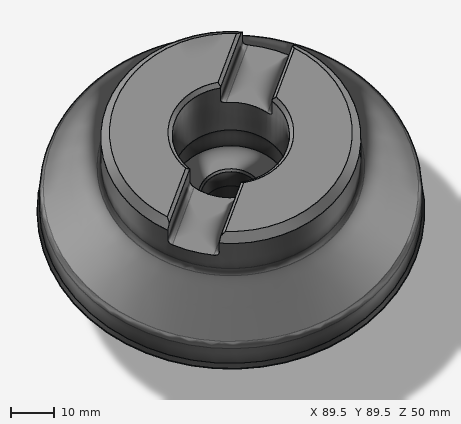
import cadquery as cq
import math

total_height = 50.0

cone_height = 18.85
cone_top_radius = 89.45 / 2
cone_bottom_radius = 22.7
cone_rim_round = 0.4
cone_bottom_round = 1.0

hub_radius = 60.0 / 2
hub_chamfer = 2.0
rim_radius = 88.28 / 2
shoulder_corner_height = 37.0
shoulder_angle = math.radians(35.0)
shoulder_fillet = 2.0
rim_corner_height = shoulder_corner_height - (rim_radius - hub_radius) * math.tan(shoulder_angle)
lip_radius = 44.65
lip_height = 1.35

bore_radius = 27.0 / 2
bore_chamfer = 1.0
bore_depth = 18.0
relief_radius = 28.0 / 2
relief_floor_height = 25.0
hole_radius = 14.0 / 2
hole_chamfer = 0.5

slot_width = 12.4
slot_depth = 7.0
slot_floor_fillet = 1.2
slot_edge_chamfer = 0.8


def revolve_profile(points):
    """Turn a closed (radius, height) outline a full turn about the Z axis."""
    return cq.Workplane("XZ").polyline(points).close().revolve(360, (0, 0, 0), (0, 1, 0))


def ring_at(radius, height):
    """Selector for the circular edge of the given radius and height."""
    reach = radius + 0.01
    slack = 0.01
    return cq.selectors.BoxSelector(
        (-reach, -reach, height - slack), (reach, reach, height + slack), boundingbox=True
    )


def make_holder_blank():
    """Outer shape: chamfered hub, shoulder with rounded corners, rim and lip."""
    blank = revolve_profile([
        (0, cone_height),
        (lip_radius, cone_height),
        (rim_radius, cone_height + lip_height),
        (rim_radius, rim_corner_height),
        (hub_radius, shoulder_corner_height),
        (hub_radius, total_height - hub_chamfer),
        (hub_radius - hub_chamfer, total_height),
        (0, total_height),
    ])
    blank = blank.edges(ring_at(rim_radius, rim_corner_height)).fillet(shoulder_fillet)
    return blank.edges(ring_at(hub_radius, shoulder_corner_height)).fillet(shoulder_fillet)


def make_bore_cutter():
    """Stepped bore: chamfered mouth, guide bore, wider relief, then the through hole."""
    relief_top_height = total_height - bore_depth
    return revolve_profile([
        (0, cone_height),
        (hole_radius, cone_height),
        (hole_radius, relief_floor_height - hole_chamfer),
        (hole_radius + hole_chamfer, relief_floor_height),
        (relief_radius, relief_floor_height),
        (relief_radius, relief_top_height),
        (bore_radius, relief_top_height),
        (bore_radius, total_height - bore_chamfer),
        (bore_radius + bore_chamfer, total_height),
        (0, total_height),
    ])


def make_slot_cutter():
    """Drive slot with rounded floor corners and chamfered top edges."""
    half_width = slot_width / 2
    slot_length = 2 * rim_radius
    floor_height = total_height - slot_depth
    slot = (
        cq.Workplane("XY", origin=(0, 0, floor_height))
        .rect(slot_width, slot_length)
        .extrude(slot_depth)
        .edges("|Y and <Z")
        .fillet(slot_floor_fillet)
    )
    edge_chamfers = (
        cq.Workplane("XZ")
        .polyline([
            (-half_width - slot_edge_chamfer, total_height),
            (-half_width, total_height - slot_edge_chamfer),
            (half_width, total_height - slot_edge_chamfer),
            (half_width + slot_edge_chamfer, total_height),
        ])
        .close()
        .extrude(slot_length / 2, both=True)
    )
    return slot.union(edge_chamfers)


def make_holder():
    """Upper body with its bore and drive slot."""
    return make_holder_blank().cut(make_bore_cutter()).cut(make_slot_cutter())


def make_cutting_cone():
    """Cone that widens upward to the holder's lip, with rounded ends and the through hole on its axis."""
    rim_center_radius = cone_top_radius - cone_rim_round
    run = rim_center_radius - cone_bottom_radius
    center_distance = math.hypot(run, cone_height)
    side_angle = math.atan2(cone_height, run) - math.asin(cone_rim_round / center_distance)
    tangent_angle = side_angle - math.pi / 2

    def rim_point(angle):
        """Point of the rim arc, with the angle measured from the outward radial direction."""
        return (
            rim_center_radius + cone_rim_round * math.cos(angle),
            cone_height + cone_rim_round * math.sin(angle),
        )

    cone = (
        cq.Workplane("XZ")
        .moveTo(hole_radius, 0)
        .lineTo(cone_bottom_radius, 0)
        .lineTo(*rim_point(tangent_angle))
        .threePointArc(rim_point(tangent_angle / 2), rim_point(0))
        .lineTo(hole_radius, cone_height)
        .close()
        .revolve(360, (0, 0, 0), (0, 1, 0))
    )
    bottom_rim = cone.faces("<Z").edges(cq.selectors.RadiusNthSelector(-1))
    return bottom_rim.fillet(cone_bottom_round)


holder = make_holder()
cutting_cone = make_cutting_cone()

result = cq.Compound.makeCompound([holder.val(), cutting_cone.val()])